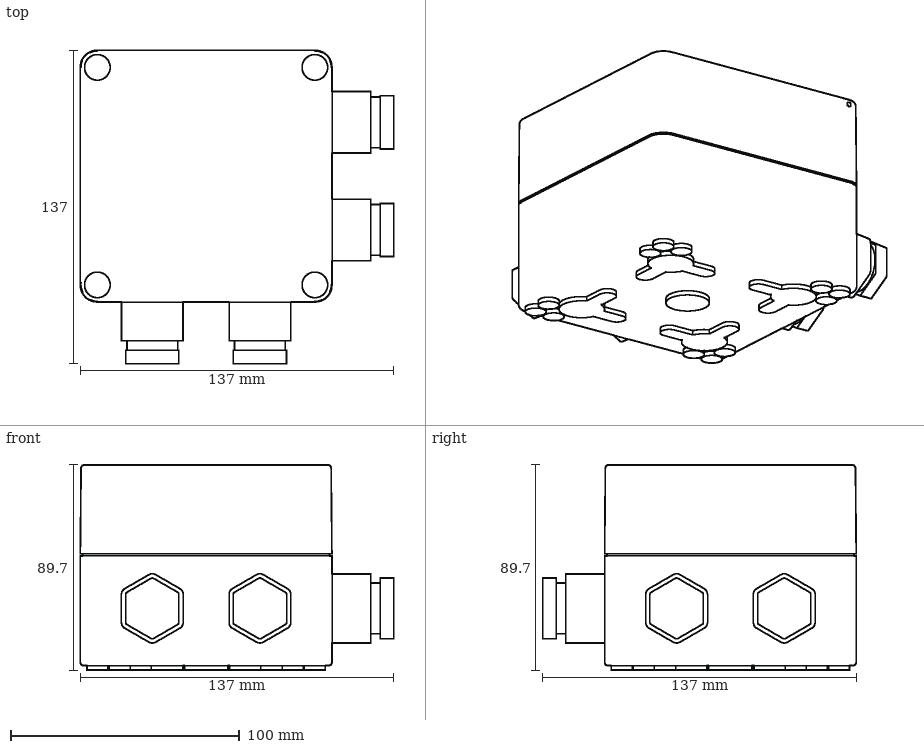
import cadquery as cq
import math

box_side = 110.0
total_height = 89.7
corner_radius = 7.5
edge_fillet = 1.5
foot_height = 2.0
parting_z = 50.0
parting_gap = 0.8
parting_depth = 1.0
lid_draft_angle = 0.5

half_side = box_side / 2
corner_offset = half_side - corner_radius
lid_bottom_z = parting_z + parting_gap

cover_diameter = 11.2
cover_recess = 0.1
seal_hole_diameter = 2.0
seal_hole_depth = 3.0
seal_hole_below_top = 2.8

gland_spacing = 47.0
gland_z = 27.0
body_across_flats = 27.0
body_length = 17.0
body_corner_radius = 3.0
neck_diameter = 22.3
neck_length = 4.0
cap_across_flats = 23.3
cap_length = 6.0
cap_corner_radius = 1.0
gland_embed = 2.0

small_foot_radius = 4.6
inner_foot_offset = 37.8
center_foot_radius = 9.5
large_foot_radius = 10.0
large_foot_offset = 33.1
rib_end = 10.2
rib_width = 8.0


def rounded_square(side, z):
    return (
        cq.Sketch()
        .rect(side, side)
        .vertices()
        .fillet(corner_radius - (box_side - side) / 2)
        .moved(cq.Location(cq.Vector(0, 0, z)))
    )


def make_base():
    base = cq.Workplane("XY").placeSketch(rounded_square(box_side, foot_height))
    return base.extrude(parting_z - foot_height).faces("<Z").edges().fillet(edge_fillet)


def make_parting_core():
    core_side = box_side - 2 * parting_depth
    core = cq.Workplane("XY").placeSketch(rounded_square(core_side, parting_z))
    return core.extrude(parting_gap)


def make_lid():
    lid = cq.Workplane("XY").placeSketch(rounded_square(box_side, lid_bottom_z))
    lid = lid.extrude(total_height - lid_bottom_z, taper=lid_draft_angle)
    lid = lid.faces(">Z").edges().fillet(edge_fillet)
    covers = (
        cq.Workplane("XY", origin=(0, 0, total_height - cover_recess))
        .rect(2 * corner_offset, 2 * corner_offset, forConstruction=True)
        .vertices()
        .circle(cover_diameter / 2)
        .extrude(cover_recess)
    )
    seal_hole = (
        cq.Workplane("YZ", origin=(-half_side, -corner_offset, total_height - seal_hole_below_top))
        .circle(seal_hole_diameter / 2)
        .extrude(seal_hole_depth)
    )
    return lid.cut(covers).cut(seal_hole)


def hex_prism(across_flats, edge_radius, start, length):
    """Hexagon along +X with corners pointing up and down and rounded long edges."""
    across_corners = across_flats / math.cos(math.pi / 6)
    prism = cq.Workplane("YZ", origin=(start, 0, 0)).polygon(6, across_corners).extrude(length)
    return prism.edges("|X").fillet(edge_radius).rotate((0, 0, 0), (1, 0, 0), 90)


def make_gland():
    """Gland pointing along +X, its mounting face at X = 0 and its root sunk into the wall."""
    body = hex_prism(body_across_flats, body_corner_radius, -gland_embed, body_length + gland_embed)
    neck = (
        cq.Workplane("YZ", origin=(body_length, 0, 0))
        .circle(neck_diameter / 2)
        .extrude(neck_length)
    )
    cap = hex_prism(cap_across_flats, cap_corner_radius, body_length + neck_length, cap_length)
    return body.union(neck).union(cap)


def foot_disc(x, y, radius):
    return cq.Workplane("XY").center(x, y).circle(radius).extrude(2 * foot_height)


def make_corner_feet(x_sign, y_sign):
    """Feet in one quarter of the underside, picked by the signs of X and Y."""
    corner_x, corner_y = x_sign * corner_offset, y_sign * corner_offset
    large_x, large_y = x_sign * large_foot_offset, y_sign * large_foot_offset
    feet = foot_disc(corner_x, corner_y, small_foot_radius)
    feet = feet.union(foot_disc(x_sign * inner_foot_offset, corner_y, small_foot_radius))
    feet = feet.union(foot_disc(corner_x, y_sign * inner_foot_offset, small_foot_radius))
    feet = feet.union(foot_disc(large_x, large_y, large_foot_radius))
    rib_length = large_foot_offset - rib_end + rib_width / 2
    rib_center = rib_end + rib_length / 2
    ribs = [(x_sign * rib_center, large_y, 0), (large_x, y_sign * rib_center, 90)]
    for x, y, angle in ribs:
        rib = cq.Workplane("XY").center(x, y).slot2D(rib_length, rib_width, angle)
        feet = feet.union(rib.extrude(2 * foot_height))
    return feet


result = make_base().union(make_parting_core()).union(make_lid())

result = result.union(foot_disc(0, 0, center_foot_radius))
for x_sign in (-1, 1):
    for y_sign in (-1, 1):
        result = result.union(make_corner_feet(x_sign, y_sign))

gland = make_gland()
for side_shift in (-gland_spacing / 2, gland_spacing / 2):
    right_gland = gland.translate((half_side, side_shift, gland_z))
    front_gland = gland.rotate((0, 0, 0), (0, 0, 1), -90).translate((side_shift, -half_side, gland_z))
    result = result.union(right_gland).union(front_gland)